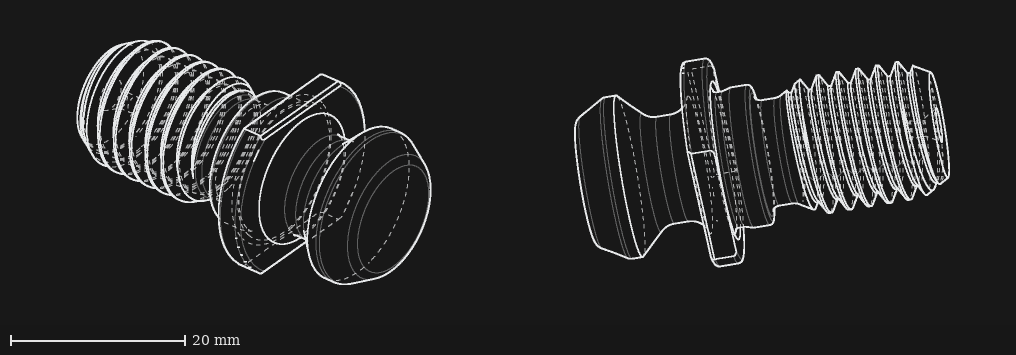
import cadquery as cq
import math

TOTAL_LENGTH = 41.25
SLOPE_30 = math.tan(math.radians(30))

THREAD_RADIUS = 7.92
THREAD_ROOT_RADIUS = 6.48
PITCH = 2.3
CREST_WIDTH = PITCH / 8
GROOVE_AT_TOP = 5.15
THREAD_END = 17.75
RELIEF_RADIUS = 6.15
THREAD_END_BLEND = 1.55
RELIEF_END = 19.7
SHANK_CONE = (THREAD_RADIUS - RELIEF_RADIUS) / SLOPE_30
TURNS_BEFORE_TOP = 3
GROOVE_TURNS = 9
CUTTER_OVERLAP = 0.15

COLLAR_START = 20.7
COLLAR_RADIUS = 8.15
COLLAR_EDGE = 0.4
COLLAR_END = 23.0
NECK_START = 24.0
NECK_RADIUS = 7.9
RELIEF_BLEND = COLLAR_START - RELIEF_END

FLANGE_START = 24.95
FLANGE_END = 28.0
FLANGE_RADIUS = 11.92
FLANGE_EDGE = 0.45
FLAT_HEIGHT = 19.05
FLAT_REAR_CHAMFER = 0.4
FLAT_FRONT_CHAMFER = 0.2
RECESS_RADIUS = 9.2
RECESS_FLOOR_RADIUS = 8.5
RECESS_START = 24.67
RECESS_BEND = RECESS_FLOOR_RADIUS - NECK_RADIUS

WAIST_RADIUS = 6.25
WAIST_START = 30.33
WAIST_END = 31.95
WAIST_BLEND = 2.4
HEAD_RADIUS = 9.4
HEAD_CONE_END = 37.63
HEAD_BAND = 1.45
HEAD_EDGE = 1.25
HEAD_SHOULDER = 0.83

CENTRE_RADIUS = 2.0
PILOT_RADIUS = 1.0
PILOT_END = 3.3


def revolve_about_x(profile):
    return profile.close().revolve(360, (0, 0, 0), (1, 0, 0))


def cove_point(x, radius, blend, angle):
    """Point on a fillet that leaves a cylinder tangentially at x; negative angles lie towards -X."""
    return (x + blend * math.sin(angle), radius + blend * (1 - math.cos(angle)))


def make_shank():
    diagonal = math.sqrt(0.5)
    blend_angle = math.radians(30)
    blend_end = THREAD_END + THREAD_END_BLEND * math.tan(blend_angle / 2)
    return revolve_about_x(
        cq.Workplane("XY")
        .lineTo(0, RELIEF_RADIUS)
        .lineTo(SHANK_CONE, THREAD_RADIUS)
        .lineTo(THREAD_END - SHANK_CONE, THREAD_RADIUS)
        .lineTo(*cove_point(blend_end, RELIEF_RADIUS, THREAD_END_BLEND, -blend_angle))
        .threePointArc(
            cove_point(blend_end, RELIEF_RADIUS, THREAD_END_BLEND, -blend_angle / 2),
            (blend_end, RELIEF_RADIUS),
        )
        .lineTo(RELIEF_END, RELIEF_RADIUS)
        .threePointArc(
            cove_point(RELIEF_END, RELIEF_RADIUS, RELIEF_BLEND, math.radians(45)),
            (COLLAR_START, RELIEF_RADIUS + RELIEF_BLEND),
        )
        .lineTo(COLLAR_START, COLLAR_RADIUS - COLLAR_EDGE)
        .threePointArc(
            (COLLAR_START + COLLAR_EDGE * (1 - diagonal), COLLAR_RADIUS - COLLAR_EDGE * (1 - diagonal)),
            (COLLAR_START + COLLAR_EDGE, COLLAR_RADIUS),
        )
        .lineTo(COLLAR_END, COLLAR_RADIUS)
        .lineTo(NECK_START, NECK_RADIUS)
        .lineTo(RECESS_START, NECK_RADIUS)
        .threePointArc(
            cove_point(RECESS_START, NECK_RADIUS, RECESS_BEND, math.radians(45)),
            (RECESS_START + RECESS_BEND, RECESS_FLOOR_RADIUS),
        )
        .lineTo(FLANGE_END, RECESS_FLOOR_RADIUS)
        .lineTo(FLANGE_END, 0)
    )


def make_groove_turn():
    """One turn of the right-handed 60 degree groove, swept along Z and then laid along X."""
    depth = THREAD_ROOT_RADIUS - THREAD_RADIUS
    root_half = (PITCH - CREST_WIDTH) / 2 + depth * SLOPE_30
    outer_radius = THREAD_RADIUS + CUTTER_OVERLAP
    outer_half = root_half + (outer_radius - THREAD_ROOT_RADIUS) * SLOPE_30
    helix = cq.Wire.makeHelix(PITCH, PITCH, THREAD_ROOT_RADIUS)
    turn = (
        cq.Workplane("XZ")
        .moveTo(THREAD_ROOT_RADIUS, -root_half)
        .lineTo(outer_radius, -outer_half)
        .lineTo(outer_radius, outer_half)
        .lineTo(THREAD_ROOT_RADIUS, root_half)
        .close()
        .sweep(cq.Workplane(obj=helix), isFrenet=True)
    )
    start = GROOVE_AT_TOP - (TURNS_BEFORE_TOP + 0.5) * PITCH
    return turn.rotate((0, 0, 0), (0, 1, 0), 90).translate((start, 0, 0))


def cut_thread(shank):
    turn = make_groove_turn()
    for index in range(GROOVE_TURNS):
        shank = shank.cut(turn.translate((index * PITCH, 0, 0)))
    return shank


def make_flange():
    thickness = FLANGE_END - FLANGE_START
    disc = (
        cq.Workplane("YZ", origin=(FLANGE_START, 0, 0))
        .circle(FLANGE_RADIUS)
        .extrude(thickness)
        .edges()
        .fillet(FLANGE_EDGE)
    )
    flats = (
        cq.Workplane("XY")
        .box(thickness, 2 * FLANGE_RADIUS, FLAT_HEIGHT)
        .translate(((FLANGE_START + FLANGE_END) / 2, 0, 0))
    )
    flats = flats.faces(">X").edges("|Y").chamfer(FLAT_REAR_CHAMFER)
    flats = flats.faces("<X").edges(">Z").chamfer(FLAT_FRONT_CHAMFER)
    return disc.intersect(flats)


def make_recess():
    """Undercut in the flange face, rounded into the neck."""
    return revolve_about_x(
        cq.Workplane("XY")
        .moveTo(RECESS_START, NECK_RADIUS)
        .threePointArc(
            cove_point(RECESS_START, NECK_RADIUS, RECESS_BEND, math.radians(45)),
            (RECESS_START + RECESS_BEND, RECESS_FLOOR_RADIUS),
        )
        .lineTo(FLANGE_START, RECESS_RADIUS)
        .lineTo(RECESS_START, RECESS_RADIUS)
    )


def make_head():
    front_angle = math.asin((WAIST_START - FLANGE_END) / WAIST_BLEND)
    shoulder_start = HEAD_CONE_END - HEAD_BAND

    def waist_point(x, angle):
        return cove_point(x, WAIST_RADIUS, WAIST_BLEND, angle)

    cone_foot = HEAD_RADIUS - (TOTAL_LENGTH - HEAD_CONE_END) * SLOPE_30
    head = revolve_about_x(
        cq.Workplane("XY")
        .moveTo(FLANGE_END, 0)
        .lineTo(*waist_point(WAIST_START, -front_angle))
        .threePointArc(waist_point(WAIST_START, -front_angle / 2), (WAIST_START, WAIST_RADIUS))
        .lineTo(WAIST_END, WAIST_RADIUS)
        .threePointArc(
            waist_point(WAIST_END, math.radians(22.5)),
            waist_point(WAIST_END, math.radians(45)),
        )
        .lineTo(shoulder_start, HEAD_RADIUS)
        .lineTo(HEAD_CONE_END, HEAD_RADIUS)
        .lineTo(TOTAL_LENGTH, cone_foot)
        .lineTo(TOTAL_LENGTH, 0)
    )
    head = head.faces(">X").edges().fillet(HEAD_EDGE)
    shoulder_edge = cq.selectors.BoxSelector(
        (HEAD_CONE_END - HEAD_BAND / 2, -HEAD_RADIUS, -HEAD_RADIUS),
        (HEAD_CONE_END + HEAD_BAND / 2, HEAD_RADIUS, HEAD_RADIUS),
    )
    return head.edges(shoulder_edge).fillet(HEAD_SHOULDER)


def make_centre_hole():
    sink_depth = (CENTRE_RADIUS - PILOT_RADIUS) / SLOPE_30
    tip_depth = PILOT_RADIUS * SLOPE_30
    return revolve_about_x(
        cq.Workplane("XY")
        .lineTo(0, CENTRE_RADIUS)
        .lineTo(sink_depth, PILOT_RADIUS)
        .lineTo(PILOT_END, PILOT_RADIUS)
        .lineTo(PILOT_END + tip_depth, 0)
    )


shank = cut_thread(make_shank()).cut(make_centre_hole())
result = shank.union(make_flange()).cut(make_recess()).union(make_head())